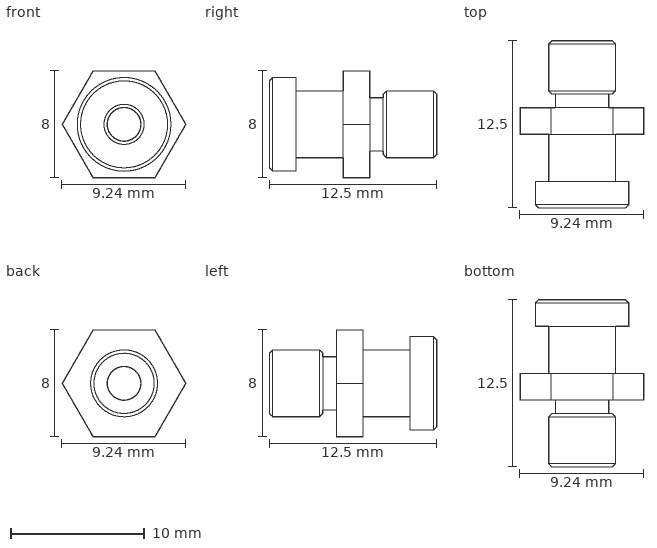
import cadquery as cq
import math

flange_length = 2
shank_length = 3.5
hex_length = 2
neck_length = 1
spigot_length = 4

flange_diameter = 7
body_diameter = 5
neck_diameter = 4
hex_across_flats = 8
bore_diameter = 2.5
edge_chamfer = 0.25

hex_across_corners = hex_across_flats / math.cos(math.pi / 6)

shank_start = flange_length
hex_start = shank_start + shank_length
neck_start = hex_start + hex_length
spigot_start = neck_start + neck_length
total_length = spigot_start + spigot_length


def section_plane(start):
    """XZ plane at Y = start; extruding by a negative length goes toward +Y."""
    return cq.Workplane("XZ", origin=(0, start, 0))


def cylinder(diameter, start, length):
    return section_plane(start).circle(diameter / 2).extrude(-length)


flange = cylinder(flange_diameter, 0, flange_length).faces("<Y").edges().chamfer(edge_chamfer)
shank = cylinder(body_diameter, shank_start, shank_length)
neck = cylinder(neck_diameter, neck_start, neck_length)

spigot = cylinder(body_diameter, spigot_start, spigot_length).edges("%CIRCLE").chamfer(edge_chamfer)

hexagon = section_plane(hex_start).polygon(6, hex_across_corners).extrude(-hex_length)

body = flange.union(shank).union(hexagon).union(neck).union(spigot)

bore = cylinder(bore_diameter, 0, total_length)
mouth = cq.Workplane(
    cq.Solid.makeCone(
        bore_diameter / 2 + edge_chamfer,
        bore_diameter / 2,
        edge_chamfer,
        pnt=cq.Vector(0, 0, 0),
        dir=cq.Vector(0, 1, 0),
    )
)

result = body.cut(bore).cut(mouth)